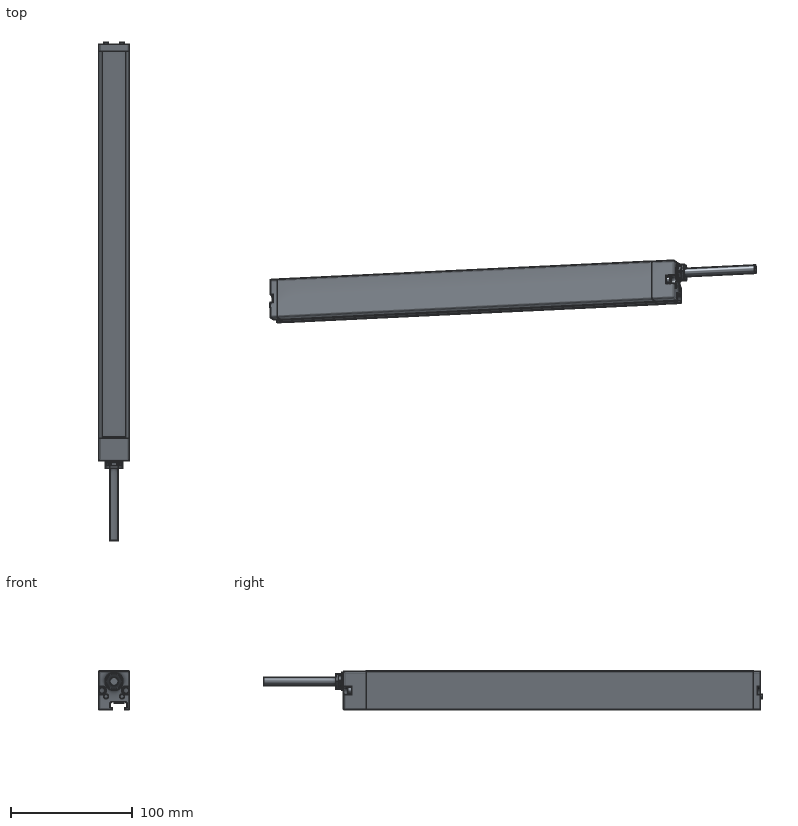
import cadquery as cq
import math

overall_length = 409.0
width = 25.5
height = 32.0
screw_head_height = 1.5
cable_reach = 65.5
housing_length = overall_length - cable_reach - screw_head_height
edge_radius = 1.2
front_edge_radius = 1.1

front_cap_length = 19.0
rear_cap_length = 5.7
cap_setback = 0.1
middle_length = housing_length - front_cap_length - rear_cap_length

window_width = 19.2
window_depth = 0.5
window_margin = 1.2

slot_neck_left = -1.5
slot_neck_right = 9.0
slot_left = -3.3
slot_right = 10.5
lip_height = 1.85
slot_ceiling = 6.5
slot_chamfer = 1.2
slot_rib_left = 0.5
slot_rib_depth = 1.2
slot_rib_right = 8.0

notch_center_z = 16.0
notch_height = 7.0
notch_reach = 3.0
front_notch_length = 7.0
rear_notch_length = 2.5
notch_boss_radius = 2.5
notch_boss_length = 3.3

screw_x = 6.5
screw_z = 11.0
screw_head_radius = 1.85
front_screw_recess = 1.0

cable_z = 23.5
cable_radius = 3.48
flange_radius = 7.5
flange_length = 1.2
nut_length = 6.0
nut_corner_diameter = 14.5
nut_sides = 6
pocket_width = 5.0
pocket_length = 3.0
pocket_depth = 1.0


def along_y(x, z, y):
    """Sketch plane facing +Y, centred at the given point, with its first axis along -X."""
    return cq.Workplane("XZ", origin=(x, y, z)).transformed(rotate=(0, 180, 0))


def section(start, length, setback):
    """Rounded bar along +Y, set back evenly from the housing envelope."""
    return (
        along_y(0, height / 2, start)
        .rect(width - 2 * setback, height - 2 * setback)
        .extrude(length)
        .edges("|Y")
        .fillet(edge_radius)
    )


def mounting_slot():
    """Undercut slot over the whole length; a shallow rib hangs from its ceiling behind the front cap."""
    outline = [
        (slot_neck_left, 0),
        (slot_neck_left, lip_height),
        (slot_left, lip_height),
        (slot_left, slot_ceiling - slot_chamfer),
        (slot_left + slot_chamfer, slot_ceiling),
        (slot_right - slot_chamfer, slot_ceiling),
        (slot_right, slot_ceiling - slot_chamfer),
        (slot_right, lip_height),
        (slot_neck_right, lip_height),
        (slot_neck_right, 0),
    ]
    slot = cq.Workplane("XZ").polyline(outline).close().extrude(-housing_length)
    rib_width = slot_rib_right - slot_rib_left
    rib = along_y(slot_rib_left + rib_width / 2, slot_ceiling - slot_rib_depth / 2, front_cap_length)
    return slot.cut(rib.rect(rib_width, slot_rib_depth).extrude(housing_length - front_cap_length))


def side_notch(side, start, length):
    """Notch open to one side of the housing, with a half-round inner end."""
    radius = notch_height / 2
    round_x = side * (width / 2 - notch_reach)
    straight = along_y(round_x + side * notch_reach / 2, notch_center_z, start)
    round_end = along_y(round_x, notch_center_z, start).circle(radius).extrude(length)
    return straight.rect(notch_reach, notch_height).extrude(length).union(round_end)


def notch_boss(side):
    """Round boss standing forward from the back wall of a front notch."""
    boss = along_y(side * (width / 2 - notch_reach), notch_center_z, front_notch_length - notch_boss_length)
    return boss.circle(notch_boss_radius).extrude(notch_boss_length)


def make_housing():
    """Middle section with its window, closed by the two end caps and opened by the slot and notches."""
    rear_cap_start = front_cap_length + middle_length
    front_cap = section(0, front_cap_length, cap_setback)
    front_cap = front_cap.faces("<Y").edges().fillet(front_edge_radius)
    middle = section(front_cap_length, middle_length, 0)
    rear_cap = section(rear_cap_start, rear_cap_length, cap_setback)

    window_length = middle_length - window_margin
    window = cq.Workplane("XY").box(window_width, window_length, window_depth, centered=(True, False, False))
    middle = middle.cut(window.translate((0, front_cap_length + window_margin, height - window_depth)))

    housing = front_cap.union(middle).union(rear_cap).cut(mounting_slot())
    for side in (-1, 1):
        housing = housing.cut(side_notch(side, 0, front_notch_length)).union(notch_boss(side))
        housing = housing.cut(side_notch(side, housing_length - rear_notch_length, rear_notch_length))
        recess = along_y(side * screw_x, screw_z, 0).circle(screw_head_radius).extrude(front_screw_recess)
        head = along_y(side * screw_x, screw_z, housing_length).circle(screw_head_radius)
        housing = housing.cut(recess).union(head.extrude(screw_head_height))
    return housing


def gland_nut(base):
    """Hexagonal nut with a shallow pocket in each flat."""
    nut = base.polygon(nut_sides, nut_corner_diameter).extrude(nut_length)
    flat_distance = nut_corner_diameter / 2 * math.cos(math.pi / nut_sides)
    pocket = cq.Workplane("XY").box(pocket_width, pocket_length, 2 * pocket_depth)
    pocket = pocket.translate((0, -flange_length - pocket_length / 2, cable_z + flat_distance))
    for index in range(nut_sides):
        nut = nut.cut(pocket.rotate((0, 0, cable_z), (0, 1, cable_z), index * 360 / nut_sides))
    return nut


def make_cable():
    """Cable with its flange and gland nut, seated on the front face of the housing."""
    base = cq.Workplane("XZ", origin=(0, 0, cable_z))
    flange = base.circle(flange_radius).extrude(flange_length)
    cable = base.circle(cable_radius).extrude(cable_reach)
    return flange.union(gland_nut(base)).union(cable)


housing = make_housing()
cable = make_cable()
result = cq.Compound.makeCompound([housing.solids().val(), cable.solids().val()])